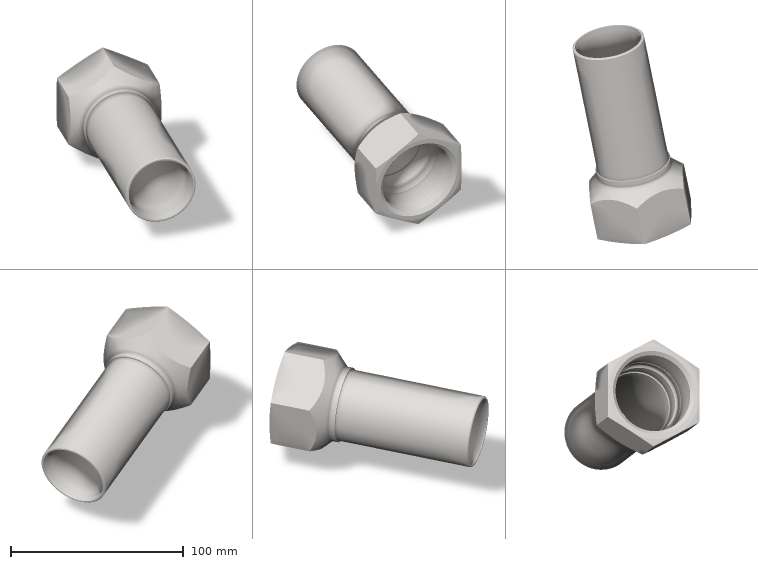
import cadquery as cq
import math

total_length = 118.0
across_flats = 55.0
across_corners = across_flats / math.cos(math.radians(30))
corner_radius = across_corners / 2

front_bevel_depth = 0.8
front_face_radius = across_flats / 2
hex_corner_length = 24.2

collar_start = 34.1
collar_end = 37.8
collar_radius = 44.0 / 2
tube_radius = 42.0 / 2
tube_end_chamfer = 0.6

mouth_radius = 24.5
socket_radius = 44.8 / 2
mouth_chamfer = mouth_radius - socket_radius
socket_depth = 21.7
seat_radius = 44.2 / 2
seat_bore_radius = 41.0 / 2
seat_start = 26.8
seat_end = 27.7
seat_bore_end = collar_end
tube_bore_radius = 39.0 / 2


def revolve_about_x(points):
    """Revolve a closed outline of (x, radius) points about the X axis."""
    return cq.Workplane("XY").polyline(points).close().revolve(360, (0, 0, 0), (1, 0, 0))


def make_envelope():
    """Round outer form: bevelled front, 45 degree rear cone, collar and tube."""
    cone_drop = corner_radius - collar_radius
    neck_x = hex_corner_length + cone_drop
    tangent_length = collar_start - neck_x
    blend_radius = tangent_length / math.tan(math.radians(22.5))
    cone_step = tangent_length * math.sin(math.radians(45))
    blend_middle_angle = math.radians(22.5)
    blend_middle = (
        collar_start - blend_radius * math.sin(blend_middle_angle),
        collar_radius + blend_radius * (1 - math.cos(blend_middle_angle)),
    )
    return (
        cq.Workplane("XY")
        .moveTo(0, 0)
        .lineTo(0, front_face_radius)
        .lineTo(front_bevel_depth, corner_radius)
        .lineTo(hex_corner_length, corner_radius)
        .lineTo(neck_x - cone_step, collar_radius + cone_step)
        .threePointArc(blend_middle, (collar_start, collar_radius))
        .lineTo(collar_end, collar_radius)
        .lineTo(collar_end, tube_radius)
        .lineTo(total_length - tube_end_chamfer, tube_radius)
        .lineTo(total_length, tube_radius - tube_end_chamfer)
        .lineTo(total_length, 0)
        .close()
        .revolve(360, (0, 0, 0), (1, 0, 0))
    )


def make_hex_bar():
    """Hexagonal bar along X with flats facing +Y and -Y and corners at +Z and -Z."""
    corner_angles = [math.radians(90 + 60 * i) for i in range(6)]
    corners = [(corner_radius * math.cos(a), corner_radius * math.sin(a)) for a in corner_angles]
    return cq.Workplane("YZ").polyline(corners).close().extrude(total_length)


def make_bore():
    """Stepped passage through the whole part."""
    return revolve_about_x([
        (0, 0),
        (0, mouth_radius),
        (mouth_chamfer, socket_radius),
        (socket_depth, socket_radius),
        (socket_depth, seat_radius),
        (seat_start, seat_radius),
        (seat_end, seat_bore_radius),
        (seat_bore_end, seat_bore_radius),
        (seat_bore_end, tube_bore_radius),
        (total_length, tube_bore_radius),
        (total_length, 0),
    ])


result = make_envelope().intersect(make_hex_bar()).cut(make_bore())